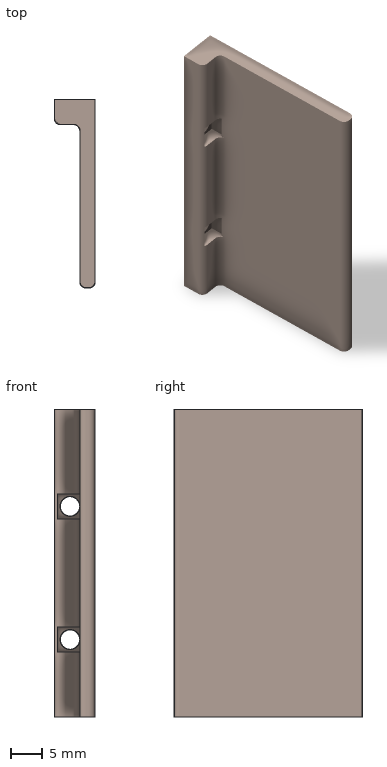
import cadquery as cq
import math

width = 6.5
depth = 30.0
height = 49.0

block_depth = 4.0
wall_thickness = 2.45
edge_radius = 1.0
wall_face_x = width - wall_thickness
block_front_y = depth - block_depth

hole_diameter = 3.1
hole_x = 2.5
lower_hole_z = 12.35
hole_spacing = 21.2

seat_size = 4.0
seat_depth = 2.0
seat_lip_offset = 0.15
seat_left_x = hole_x - seat_size / 2
seat_right_x = hole_x + seat_size / 2
seat_floor_y = block_front_y + seat_depth


def make_profile_body():
    """L-shaped bar standing along Z, with every upright edge rounded except the two at the back."""
    outline = (
        cq.Workplane("XY")
        .moveTo(0, depth)
        .lineTo(width, depth)
        .lineTo(width, 0)
        .lineTo(wall_face_x, 0)
        .lineTo(wall_face_x, block_front_y)
        .lineTo(0, block_front_y)
        .close()
    )
    body = outline.extrude(height)
    return body.edges("|Z").edges("not >Y").fillet(edge_radius)


def make_seat(center_z):
    """Pocket for a screw head; the wall edge that overhangs it is rounded."""
    seat_front_y = block_front_y - edge_radius
    lip_y = seat_front_y + seat_lip_offset
    lip_center_x = wall_face_x + edge_radius

    def lip_point(x):
        """Point at a given X on the arc that rounds the overhanging lip."""
        rise = math.sqrt(edge_radius**2 - (lip_center_x - x) ** 2)
        return (x, lip_y + rise)

    lip_middle = lip_point((wall_face_x + seat_right_x) / 2)
    lip_end = lip_point(seat_right_x)
    return (
        cq.Workplane("XY", origin=(0, 0, center_z - seat_size / 2))
        .moveTo(seat_left_x, seat_front_y)
        .lineTo(wall_face_x, seat_front_y)
        .lineTo(wall_face_x, lip_y)
        .threePointArc(lip_middle, lip_end)
        .lineTo(seat_right_x, seat_floor_y)
        .lineTo(seat_left_x, seat_floor_y)
        .close()
        .extrude(seat_size)
    )


def make_hole(center_z):
    """Round hole from the back of the block into the seat."""
    return (
        cq.Workplane("XZ", origin=(hole_x, depth, center_z))
        .circle(hole_diameter / 2)
        .extrude(block_depth)
    )


result = make_profile_body()
for center_z in (lower_hole_z, lower_hole_z + hole_spacing):
    result = result.cut(make_seat(center_z)).cut(make_hole(center_z))